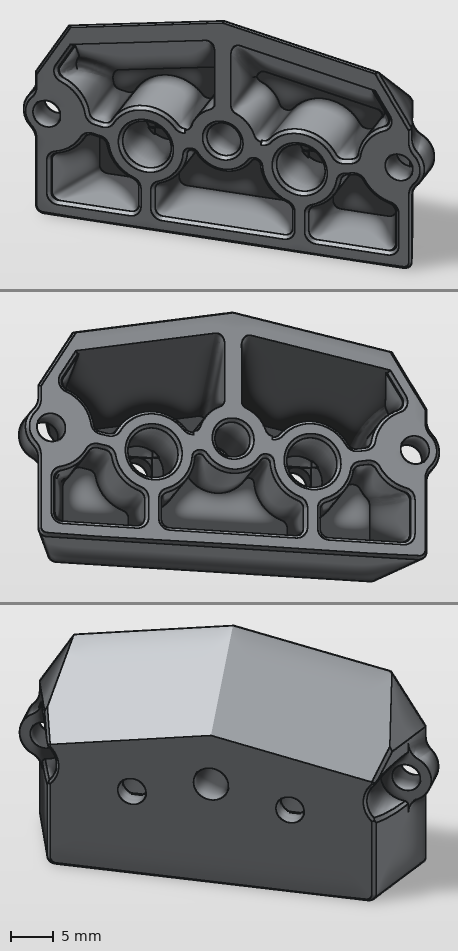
import cadquery as cq
import math

depth = 11.0
half_width = 23.35
shoulder_z = 18.3
corner_x = 19.2
corner_z = 25.0
apex_z = 28.88
roof_pitch = math.tan(math.radians(10.8))
roof_fall = math.tan(math.radians(40))
side_draft = math.tan(math.radians(18.5))
shoulder_run = (half_width - corner_x) / (corner_z - shoulder_z)
base_corner_radius = 1.0
front_bevel = 0.4
back_bevel = 0.35

ear_x = 21.75
upper_row_z = 13.2
bore_x = 9.5
bore_z = 11.0
screw_diameter = 3.4
centre_diameter = 4.2
bore_diameter = 6.0
bore_depth = 8.0
step_depth = 0.3
mouth_bevel = 0.4

ear_radius = 3.0
ear_thickness = 4.0
ear_blend = 2.0
clearance_radius = 3.1

wall = 2.0
side_wall = 2.0
shoulder_wall = 2.3
roof_wall = 2.6
ear_wall_radius = 5.2
pocket_depth = 9.0
pocket_radius = 1.0
throat_radius = 0.6
ceiling_end_x = 4.7

reach = 40.0
margin = 0.1


def ruled_block(front_points, back_points, length):
    """Solid with flat sides from an XZ outline at Y = 0 to another at Y = length."""
    return (
        cq.Workplane("XZ").polyline(front_points).close()
        .workplane(offset=-length).polyline(back_points).close()
        .loft(ruled=True)
    )


def cylinder(x, z, radius, start, end):
    """Cylinder along Y from Y = start to Y = end."""
    return cq.Workplane("XZ", origin=(x, start, z)).circle(radius).extrude(start - end)


def box(x0, x1, y0, y1, z0, z1):
    return cq.Workplane("XY").box(x1 - x0, y1 - y0, z1 - z0, centered=False).translate((x0, y0, z0))


def mouth_cone(x, z, diameter):
    """Conical bevel cutter for a round hole opening on the front face."""
    radius = diameter / 2
    return cq.Workplane(cq.Solid.makeCone(
        radius + mouth_bevel, radius, mouth_bevel, cq.Vector(x, 0, z), cq.Vector(0, 1, 0)
    ))


def mirrored_pair(solid):
    """A right-half solid together with its left-half copy."""
    return solid.union(solid.mirror("YZ"))


def house(side_x, shoulder_x, base_z, ridge_z, length, draft=side_draft, fall=roof_fall):
    """Block with leaning sides and shoulder slopes under a ridged, falling roof.

    shoulder_x is the half width of the shoulder slope line at shoulder_z."""
    bend_z = shoulder_z + (shoulder_x - side_x) / shoulder_run
    top_x = side_x - (reach - bend_z) * shoulder_run

    def sides(shift):
        right = [(side_x - shift, base_z), (side_x - shift, bend_z), (top_x - shift, reach)]
        return right + [(-x, z) for x, z in reversed(right)]

    def roof(drop):
        ridge = ridge_z - drop
        eave = ridge - reach * roof_pitch
        return [(-reach, -reach), (reach, -reach), (reach, eave), (0, ridge), (-reach, eave)]

    block = ruled_block(sides(0), sides(draft * length), length)
    return block.intersect(ruled_block(roof(0), roof(fall * length), length))


def make_body():
    """Body with bevelled back edges and a bevelled screw clearance behind each ear."""
    body = house(half_width, half_width, 0, apex_z, depth)
    body = body.faces("<Z").edges("not |X").fillet(base_corner_radius)
    body = bevel_back(body)
    back_mouth = cq.Workplane(cq.Solid.makeCone(
        clearance_radius + back_bevel, clearance_radius, back_bevel,
        cq.Vector(ear_x, depth, upper_row_z), cq.Vector(0, -1, 0),
    ))
    clearance = cylinder(ear_x, upper_row_z, clearance_radius, ear_thickness, depth)
    body = body.cut(mirrored_pair(clearance))
    body = bevel_clearance_sides(body)
    return body.cut(mirrored_pair(back_mouth))


def bevel_back(body):
    """Bevel the back outline below the roof, and the edges from side to roof."""
    edges = []
    for edge in body.edges().vals():
        bounds = edge.BoundingBox()
        below_shoulder = bounds.zmax < shoulder_z + margin
        on_back = bounds.ymin > depth - margin
        side_to_roof = bounds.ymax > depth - margin and bounds.zmin > shoulder_z / 2
        if below_shoulder and (on_back or side_to_roof):
            edges.append(edge)
    return body.newObject([body.val().chamfer(back_bevel, None, edges)])


def bevel_clearance_sides(body):
    """Bevel the edges where the screw clearances break through the leaning sides."""
    edges = []
    for edge in body.edges("%ELLIPSE").vals():
        bounds = edge.BoundingBox()
        beside_ear = abs(edge.Center().z - upper_row_z) < clearance_radius
        if beside_ear and bounds.ymin < depth / 2:
            edges.append(edge)
    return body.newObject([body.val().chamfer(back_bevel, None, edges)])


def make_ear():
    """Right ear, blended into the leaning side of the body."""
    lean = side_draft * depth
    root_top = shoulder_z + wall
    root = ruled_block(
        [(0, 0), (half_width, 0), (half_width, root_top), (0, root_top)],
        [(0, 0), (half_width - lean, 0), (half_width - lean, root_top), (0, root_top)],
        depth,
    )
    ear = root.union(cylinder(ear_x, upper_row_z, ear_radius, 0, depth))
    seams = cq.selectors.BoxSelector(
        (ear_x - ear_radius, margin, upper_row_z - ear_radius - margin),
        (half_width, depth - margin, upper_row_z + ear_radius + margin),
    )
    ear = ear.edges(seams).fillet(ear_blend)
    span = ear_radius + ear_blend
    return ear.intersect(
        box(ear_x - wall, reach, 0, ear_thickness, upper_row_z - span, upper_row_z + span)
    )


def web(x0, z0, x1, z1):
    """Strip of one wall thickness joining two hole centres."""
    length = math.hypot(x1 - x0, z1 - z0)
    angle = math.degrees(math.atan2(z1 - z0, x1 - x0))
    strip = box(0, length, 0, pocket_depth, -wall / 2, wall / 2)
    return strip.rotate((0, 0, 0), (0, 1, 0), -angle).translate((x0, 0, z0))


def make_framework():
    """Bosses, webs and ribs left standing between the pockets of the right half."""
    frame = cylinder(0, upper_row_z, centre_diameter / 2 + wall, 0, pocket_depth)
    frame = frame.union(cylinder(bore_x, bore_z, bore_diameter / 2 + wall, 0, pocket_depth))
    frame = frame.union(cylinder(ear_x, upper_row_z, ear_wall_radius, 0, pocket_depth))
    frame = frame.union(web(0, upper_row_z, bore_x, bore_z))
    frame = frame.union(web(bore_x, bore_z, ear_x, upper_row_z))
    frame = frame.union(box(0, wall / 2, 0, pocket_depth, upper_row_z, reach))
    return frame.union(box(bore_x - wall / 2, bore_x + wall / 2, 0, pocket_depth, 0, bore_z))


def front_outline(space):
    return space.faces("<Y").wires().val()


def rounded_outline(space, radius=pocket_radius):
    """Front outline of a straight pocket space with its inner corners rounded."""
    return front_outline(space).offset2D(-radius)[0].offset2D(radius)[0]


def straight_pocket(outline):
    return cq.Workplane(cq.Solid.extrudeLinear(outline, [], cq.Vector(0, pocket_depth, 0)))


def mouth_cutter(outline):
    """45 degree bevel cutter around a pocket outline on the front face."""
    wide_outline = outline.offset2D(mouth_bevel)[0]
    return cq.Workplane(cq.Solid.extrudeLinear(wide_outline, [], cq.Vector(0, mouth_bevel, 0), 45))


def round_leaning_edges(pocket):
    """Round the front-to-back edges of a pocket that run inward along a leaning face."""
    edges = []
    for edge in pocket.edges().vals():
        bounds = edge.BoundingBox()
        if bounds.ylen > wall / 2 and bounds.xlen > wall / 4 and bounds.zmax < shoulder_z + wall:
            edges.append(edge)
    return pocket.newObject([pocket.val().fillet(pocket_radius, edges)])


def pocket_at(spaces, x, z):
    """The one space, out of several separate solids, that holds the point x, z."""
    probe = cq.Vector(x, pocket_depth / 2, z)
    return cq.Workplane(next(solid for solid in spaces.solids().vals() if solid.isInside(probe)))


def make_pockets():
    """Cutters for the lower centre pocket and the two pairs of outer pockets."""
    frame = make_framework()
    ridge_z = apex_z - roof_wall
    inner_walls = (half_width - side_wall, half_width - shoulder_wall, 0, ridge_z, pocket_depth)
    open_half = box(0, ear_x + wall, 0, pocket_depth, wall, reach)
    upright_half = open_half.intersect(house(*inner_walls, draft=0, fall=0)).cut(frame)
    open_half = open_half.cut(frame)

    ceiling_end = cq.selectors.BoxSelector(
        (0, margin, shoulder_z), (wall / 2 + margin, pocket_depth - margin, reach)
    )
    envelope = house(*inner_walls).intersect(box(wall / 2, reach, 0, pocket_depth, 0, reach))
    envelope = envelope.edges(ceiling_end).fillet(pocket_radius)

    low_z = bore_z / 2
    centre_space = mirrored_pair(pocket_at(open_half, wall, low_z))
    throats = straight_pocket(rounded_outline(centre_space, throat_radius))
    throats = throats.intersect(box(-bore_x, bore_x, 0, pocket_depth, bore_z - wall, bore_z + wall))
    centre_pocket = straight_pocket(rounded_outline(centre_space)).union(throats).clean()
    cutters = [centre_pocket, mouth_cutter(front_outline(centre_pocket))]

    bevelled_zone = house(reach, reach, 0, ridge_z, pocket_depth).intersect(
        box(ceiling_end_x, reach, 0, pocket_depth, 0, reach)
    )
    middle_x = (bore_x + ear_x) / 2
    for z in (low_z, shoulder_z):
        outline = rounded_outline(pocket_at(open_half, middle_x, z))
        pocket = round_leaning_edges(straight_pocket(outline).intersect(envelope))
        mouth = mouth_cutter(rounded_outline(pocket_at(upright_half, middle_x, z)))
        mouth = mouth.intersect(bevelled_zone)
        cutters += [pocket, mouth, pocket.mirror("YZ"), mouth.mirror("YZ")]
    return cutters


def make_centre_hole():
    hole = cylinder(0, upper_row_z, centre_diameter / 2, 0, depth)
    return hole.union(mouth_cone(0, upper_row_z, centre_diameter))


def make_bore():
    """Counterbored screw hole whose floor steps down through crossed slots to a square."""
    full = bore_diameter / 2
    half = screw_diameter / 2
    slot_floor = bore_depth + step_depth
    upright = box(bore_x - half, bore_x + half, 0, slot_floor, bore_z - full, bore_z + full)
    level = box(bore_x - full, bore_x + full, 0, slot_floor, bore_z - half, bore_z + half)
    square = box(
        bore_x - half, bore_x + half, 0, slot_floor + step_depth, bore_z - half, bore_z + half
    )
    slots = upright.union(level).union(square).intersect(cylinder(bore_x, bore_z, full, 0, depth))
    hole = cylinder(bore_x, bore_z, half, 0, depth).union(cylinder(bore_x, bore_z, full, 0, bore_depth))
    return hole.union(slots).union(mouth_cone(bore_x, bore_z, bore_diameter))


result = make_body().union(mirrored_pair(make_ear()))
result = result.faces("<Y").edges().chamfer(front_bevel)
for cutter in make_pockets():
    result = result.cut(cutter)
result = result.cut(make_centre_hole())
result = result.cut(mirrored_pair(make_bore()))
result = result.cut(mirrored_pair(cylinder(ear_x, upper_row_z, screw_diameter / 2, 0, depth)))